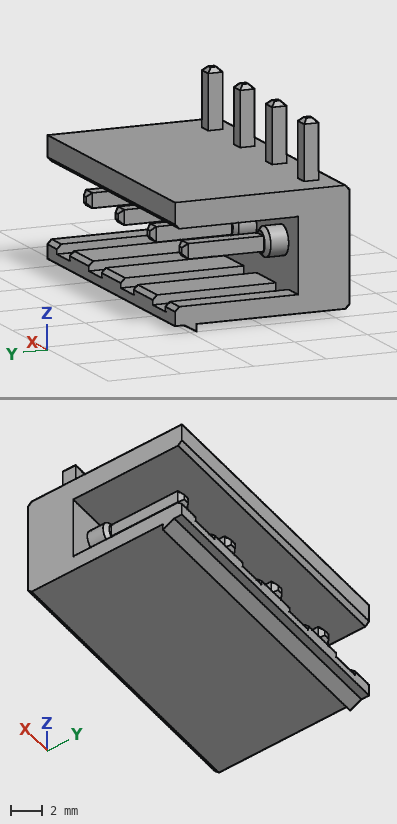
import cadquery as cq


pin_count = 4
pitch = 5.0
length = pin_count * pitch
depth = 12.0
height = 8.0
upper_wall = 1.72
lower_wall = 1.25
back_wall = 3.55
edge_chamfer = 0.3

barb_drop = 0.48
barb_back_y = 10.52
barb_front_y = 11.4

groove_width = 2.0
groove_depth = 0.62

pin_size = 1.0
pin_tip_chamfer = 0.3
tail_y = 1.75
tail_height = 4.0
contact_z = 4.25
contact_tip_y = 10.52
collar_diameter = 2.0
collar_chamfer = 0.28
collar_length = 1.5


def make_housing():
    """C-shaped section, including the latch barb, extruded along X."""
    slot_top = height - upper_wall
    outline = [
        (edge_chamfer, 0),
        (barb_back_y, 0),
        (barb_back_y, -barb_drop),
        (barb_front_y, 0),
        (depth, 0),
        (depth, lower_wall - edge_chamfer),
        (depth - edge_chamfer, lower_wall),
        (back_wall, lower_wall),
        (back_wall, slot_top),
        (depth - edge_chamfer, slot_top),
        (depth, slot_top + edge_chamfer),
        (depth, height),
        (edge_chamfer, height),
        (0, height - edge_chamfer),
        (0, edge_chamfer),
    ]
    return cq.Workplane("YZ").polyline(outline).close().extrude(length)


def make_groove(x):
    """Cutter for a groove running from the slot floor out through the open end."""
    slot_depth = depth - back_wall
    return (
        cq.Workplane("XY")
        .box(groove_width, slot_depth, groove_depth, centered=(True, False, False))
        .translate((x, back_wall, lower_wall - groove_depth))
    )


def make_tail(x):
    """Upright square pin with a tapered tip, rooted in the back wall."""
    return (
        cq.Workplane("XY", origin=(x, tail_y, contact_z))
        .rect(pin_size, pin_size)
        .extrude(height + tail_height - contact_z)
        .faces(">Z")
        .chamfer(pin_tip_chamfer)
    )


def make_contact(x):
    """Square pin pointing along +Y into the slot, with a tapered tip."""
    return (
        cq.Workplane("XZ", origin=(x, tail_y, contact_z))
        .rect(pin_size, pin_size)
        .extrude(tail_y - contact_tip_y)
        .faces(">Y")
        .chamfer(pin_tip_chamfer)
    )


def make_collar(x):
    """Round chamfered collar where the contact leaves the slot floor."""
    return (
        cq.Workplane("XZ", origin=(x, back_wall, contact_z))
        .circle(collar_diameter / 2)
        .extrude(-collar_length)
        .faces(">Y")
        .chamfer(collar_chamfer)
    )


result = make_housing()
for index in range(pin_count):
    pin_x = (index + 0.5) * pitch
    result = result.cut(make_groove(pin_x))
    result = result.union(make_tail(pin_x)).union(make_contact(pin_x)).union(make_collar(pin_x))